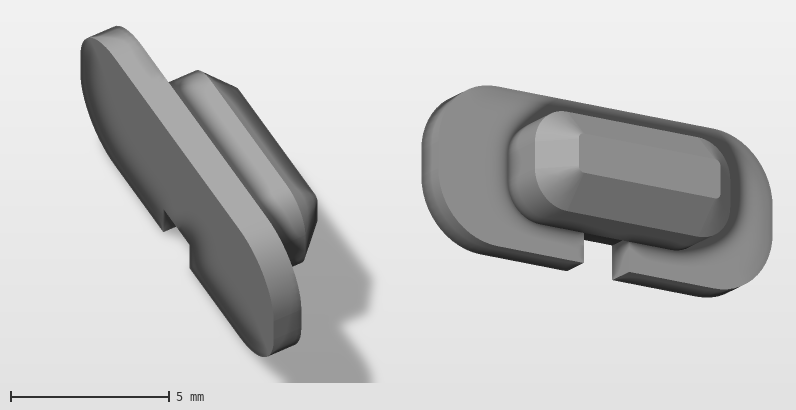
import cadquery as cq

plate_length = 12.5
plate_height = 5.3
plate_thickness = 1
plate_radius = 2.2

boss_length = 7.3
boss_height = 3.3
boss_depth = 2.6
boss_radius = 1.2
boss_chamfer = 1

notch_width = 1.7
notch_depth = 1.15
notch_offset = -0.04


def rounded_block(length, height, depth, radius):
    """Block with rounded corners, extending from Y = 0 toward +Y."""
    return (
        cq.Workplane("XZ")
        .rect(length, height)
        .extrude(-depth)
        .edges("|Y")
        .fillet(radius)
    )


plate = rounded_block(plate_length, plate_height, plate_thickness, plate_radius)

notch = (
    cq.Workplane("XY")
    .box(notch_width, plate_thickness, notch_depth, centered=(True, False, False))
    .translate((notch_offset, 0, -plate_height / 2))
)

boss = (
    rounded_block(boss_length, boss_height, boss_depth, boss_radius)
    .faces(">Y")
    .chamfer(boss_chamfer)
    .translate((0, plate_thickness, 0))
)

result = plate.cut(notch).union(boss)